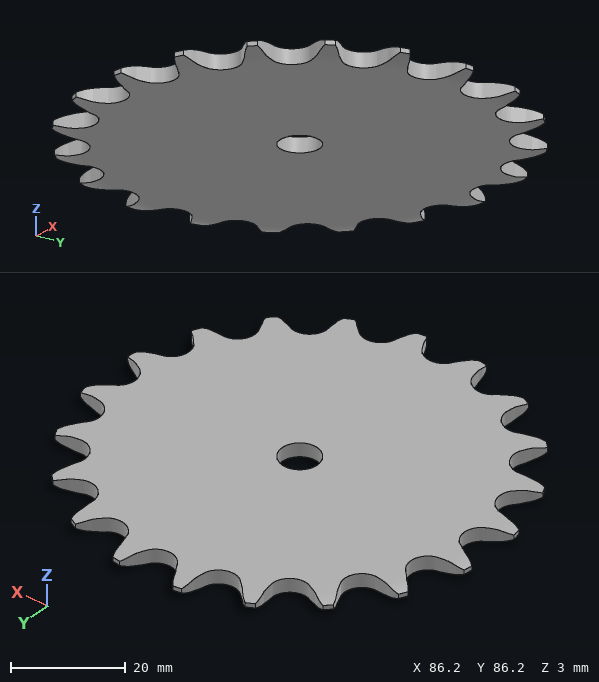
import cadquery as cq
import math

TOOTH_COUNT = 20
PITCH_RADIUS = 40.55
ROLLER_DIAMETER = 7.8
TIP_RADIUS = 43.5
THICKNESS = 3.0
BORE_DIAMETER = 8.0

RELIEF_START_RADIUS = 38.5
RELIEF_ARC_RADIUS = 12.65
RELIEF_OVERRUN = 0.4

SEAT_RADIUS = ROLLER_DIAMETER / 2
WORKING_CENTER_OFFSET = 0.8 * ROLLER_DIAMETER
TOPPING_CENTER_OFFSET = 1.4 * ROLLER_DIAMETER
WORKING_RADIUS = SEAT_RADIUS + WORKING_CENTER_OFFSET
SEAT_END_ANGLE = 35 + 60 / TOOTH_COUNT
WORKING_SWEEP = 18 - 56 / TOOTH_COUNT
TOPPING_START_ANGLE = 17 - 64 / TOOTH_COUNT

HALF_PITCH_ANGLE = 180 / TOOTH_COUNT
TOOTH_ANGLE = 360 / TOOTH_COUNT
AXIS = (0, 0)


def polar(center, radius, degrees):
    """Point at the given radius and angle around a center."""
    angle = math.radians(degrees)
    return center[0] + radius * math.cos(angle), center[1] + radius * math.sin(angle)


def direction(start, end):
    """Angle in degrees, from 0 to 360, of the line from start to end."""
    return math.degrees(math.atan2(end[1] - start[1], end[0] - start[0])) % 360


def rotate(point, degrees):
    """Point turned about the sprocket axis."""
    angle = math.radians(degrees)
    x, y = point
    return x * math.cos(angle) - y * math.sin(angle), x * math.sin(angle) + y * math.cos(angle)


def mirror(point):
    """Point reflected across the centerline of the gap that faces +Y."""
    return -point[0], point[1]


def flank_points():
    """Right flank of the gap facing +Y, from the seat end out to the tooth tip."""
    roller_center = (0, PITCH_RADIUS)

    working_center = polar(roller_center, WORKING_CENTER_OFFSET, 180 - SEAT_END_ANGLE)
    working_end_angle = WORKING_SWEEP - SEAT_END_ANGLE
    seat_end = polar(roller_center, SEAT_RADIUS, -SEAT_END_ANGLE)
    working_end = polar(working_center, WORKING_RADIUS, working_end_angle)

    straight_length = (
        TOPPING_CENTER_OFFSET * math.sin(math.radians(TOPPING_START_ANGLE))
        - WORKING_CENTER_OFFSET * math.sin(math.radians(WORKING_SWEEP))
    )
    straight_end = polar(working_end, straight_length, working_end_angle + 90)

    topping_center = polar(roller_center, TOPPING_CENTER_OFFSET, -HALF_PITCH_ANGLE)
    topping_radius = math.dist(topping_center, straight_end)
    center_distance = math.hypot(*topping_center)
    tip_offset_angle = math.degrees(math.acos(
        (center_distance**2 + TIP_RADIUS**2 - topping_radius**2)
        / (2 * center_distance * TIP_RADIUS)
    ))
    tip = polar(AXIS, TIP_RADIUS, direction(AXIS, topping_center) + tip_offset_angle)
    mid_angle = (direction(topping_center, straight_end) + direction(topping_center, tip)) / 2
    topping_mid = polar(topping_center, topping_radius, mid_angle)
    return seat_end, working_end, straight_end, topping_mid, tip


def toothed_plate():
    """Flat plate whose outline repeats one gap and one tooth tip."""
    seat_end, working_end, straight_end, topping_mid, tip = flank_points()
    seat_bottom = (0, PITCH_RADIUS - SEAT_RADIUS)
    tip_mid = polar(AXIS, TIP_RADIUS, 90 - HALF_PITCH_ANGLE)
    next_tooth_tip = rotate(mirror(tip), -TOOTH_ANGLE)

    outline = cq.Workplane("XY").workplane(offset=-THICKNESS / 2).moveTo(*mirror(tip))
    for index in range(TOOTH_COUNT):
        turn = -index * TOOTH_ANGLE
        outline = (
            outline
            .threePointArc(rotate(mirror(topping_mid), turn), rotate(mirror(straight_end), turn))
            .lineTo(*rotate(mirror(working_end), turn))
            .lineTo(*rotate(mirror(seat_end), turn))
            .threePointArc(rotate(seat_bottom, turn), rotate(seat_end, turn))
            .lineTo(*rotate(working_end, turn))
            .lineTo(*rotate(straight_end, turn))
            .threePointArc(rotate(topping_mid, turn), rotate(tip, turn))
            .threePointArc(rotate(tip_mid, turn), rotate(next_tooth_tip, turn))
        )
    return outline.close().extrude(THICKNESS)


def relieved_disc():
    """Disc with rounded edges that start tangent to its faces and run past the tooth tips."""
    half_thickness = THICKNESS / 2
    rim_radius = TIP_RADIUS + RELIEF_OVERRUN
    arc_center = (RELIEF_START_RADIUS, half_thickness - RELIEF_ARC_RADIUS)
    rim_angle = math.degrees(math.acos((rim_radius - RELIEF_START_RADIUS) / RELIEF_ARC_RADIUS))
    arc_mid = polar(arc_center, RELIEF_ARC_RADIUS, (90 + rim_angle) / 2)
    arc_end = polar(arc_center, RELIEF_ARC_RADIUS, rim_angle)
    return (
        cq.Workplane("XZ")
        .moveTo(0, half_thickness)
        .lineTo(RELIEF_START_RADIUS, half_thickness)
        .threePointArc(arc_mid, arc_end)
        .lineTo(arc_end[0], -arc_end[1])
        .threePointArc((arc_mid[0], -arc_mid[1]), (RELIEF_START_RADIUS, -half_thickness))
        .lineTo(0, -half_thickness)
        .close()
        .revolve(360, (0, 0), (0, 1))
    )


def bore():
    """Through hole on the axis."""
    return cq.Workplane("XY").circle(BORE_DIAMETER / 2).extrude(THICKNESS, both=True)


result = toothed_plate().intersect(relieved_disc()).cut(bore())